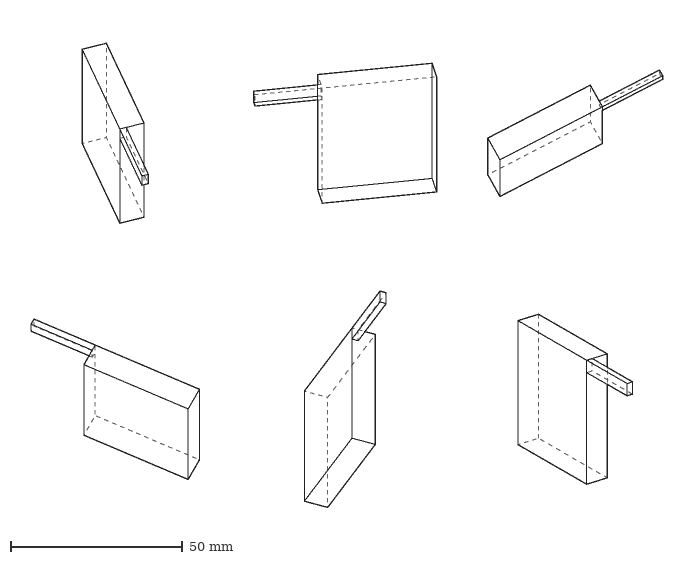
import cadquery as cq

TOTAL_LENGTH = 54.0
BLOCK_DEPTH = 7.5
BLOCK_HEIGHT = 40.0

BAR_LENGTH = 20.0
BAR_DEPTH = 2.0
BAR_HEIGHT = 4.0

BLOCK_LENGTH = TOTAL_LENGTH - BAR_LENGTH


def make_block():
    """Plain rectangular block with its lower front left corner at the origin."""
    return cq.Workplane("XY").box(BLOCK_LENGTH, BLOCK_DEPTH, BLOCK_HEIGHT, centered=False)


def make_bar():
    """Slim bar butted against the block, flush with its front and top faces."""
    bar = cq.Workplane("XY").box(BAR_LENGTH, BAR_DEPTH, BAR_HEIGHT, centered=False)
    return bar.translate((BLOCK_LENGTH, 0, BLOCK_HEIGHT - BAR_HEIGHT))


block = make_block()
bar = make_bar()

result = cq.Compound.makeCompound([block.val(), bar.val()])